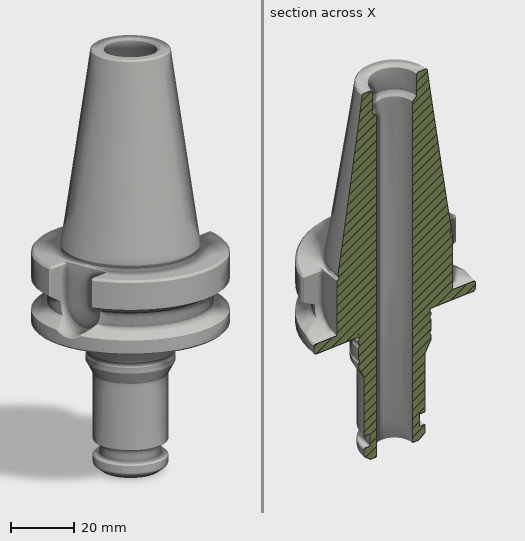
import cadquery as cq
import math


GAUGE_RADIUS = 44.45 / 2
TAPER_LENGTH = 65.4
RADIUS_TAPER = 7 / 24 / 2
TAPER_TIP_CHAMFER = 0.5
SMALL_END_RADIUS = GAUGE_RADIUS - TAPER_LENGTH * RADIUS_TAPER

RELIEF_RADIUS = 21.75
RELIEF_FILLET = 0.85

FLANGE_RADIUS = 63 / 2
FLANGE_TOP_Z = -2.0
FLANGE_BOTTOM_Z = -27.0
FLANGE_CHAMFER = 0.7
GRIP_CENTRE_Z = -16.8
GRIP_BOTTOM_RADIUS = 53 / 2
GRIP_FLOOR_WIDTH = 4.5
GRIP_FLANK_SLOPE = 30
GRIP_TOP_Z = GRIP_CENTRE_Z + GRIP_FLOOR_WIDTH / 2
GRIP_BOTTOM_Z = GRIP_CENTRE_Z - GRIP_FLOOR_WIDTH / 2
GRIP_FLANK_HEIGHT = (FLANGE_RADIUS - GRIP_BOTTOM_RADIUS) * math.tan(math.radians(GRIP_FLANK_SLOPE))

SLOT_WIDTH = 16.1
SLOT_FLOOR_Y = 22.6
SLOT_BOTTOM_Z = -23.0
SLOT_FLOOR_FILLET = 0.5
SLOT_LIP_CHAMFER = 0.5

COLLAR_RADIUS = 28.5 / 2
COLLAR_BOTTOM_Z = -38.9
COLLAR_CONE_BOTTOM_Z = -43.1
GROOVE_DEPTH = 0.45
GROOVE_SPANS = [(FLANGE_BOTTOM_Z, -28.3), (-29.3, -31.1), (-35.3, -37.0)]

SHANK_RADIUS = 24 / 2
NECK_RADIUS = 19.5 / 2
NECK_TOP_Z = -65.7
NECK_BOTTOM_Z = -70.2
NECK_FILLET = 0.4
NECK_EDGE_CHAMFER = 0.4
END_Z = -75.5
KNOB_ROUND_TOP_Z = -72.9
KNOB_CONE_TOP_Z = -73.8
KNOB_CONE_TOP_RADIUS = 11.55
KNOB_END_RADIUS = 9.4

BORE_RADIUS = 13.84 / 2
PILOT_RADIUS = 17 / 2
PILOT_MOUTH_RADIUS = 19.1 / 2
PILOT_MOUTH_DEPTH = 0.6
PILOT_DEPTH = 9.0


def fillet_midpoint(corner_r, corner_z, toward_r, toward_z, radius):
    """Midpoint of the concave fillet arc at a corner whose sides run toward the given signs."""
    offset = radius * (1 - math.sqrt(0.5))
    return corner_r + toward_r * offset, corner_z + toward_z * offset


def turned_body():
    """Outer shape revolved about Z, from the taper tip down to the end knob."""
    profile = (
        cq.Workplane("XZ")
        .moveTo(0, TAPER_LENGTH)
        .lineTo(SMALL_END_RADIUS - TAPER_TIP_CHAMFER, TAPER_LENGTH)
        .lineTo(SMALL_END_RADIUS + TAPER_TIP_CHAMFER * RADIUS_TAPER, TAPER_LENGTH - TAPER_TIP_CHAMFER)
        .lineTo(GAUGE_RADIUS, 0)
        .lineTo(RELIEF_RADIUS, FLANGE_TOP_Z + RELIEF_FILLET)
        .threePointArc(
            fillet_midpoint(RELIEF_RADIUS, FLANGE_TOP_Z, 1, 1, RELIEF_FILLET),
            (RELIEF_RADIUS + RELIEF_FILLET, FLANGE_TOP_Z),
        )
        .lineTo(FLANGE_RADIUS - FLANGE_CHAMFER, FLANGE_TOP_Z)
        .lineTo(FLANGE_RADIUS, FLANGE_TOP_Z - FLANGE_CHAMFER)
        .lineTo(FLANGE_RADIUS, GRIP_TOP_Z + GRIP_FLANK_HEIGHT)
        .lineTo(GRIP_BOTTOM_RADIUS, GRIP_TOP_Z)
        .lineTo(GRIP_BOTTOM_RADIUS, GRIP_BOTTOM_Z)
        .lineTo(FLANGE_RADIUS, GRIP_BOTTOM_Z - GRIP_FLANK_HEIGHT)
        .lineTo(FLANGE_RADIUS, FLANGE_BOTTOM_Z + FLANGE_CHAMFER)
        .lineTo(FLANGE_RADIUS - FLANGE_CHAMFER, FLANGE_BOTTOM_Z)
    )
    for top, bottom in GROOVE_SPANS:
        profile = profile.lineTo(COLLAR_RADIUS, top).threePointArc(
            (COLLAR_RADIUS - GROOVE_DEPTH, (top + bottom) / 2), (COLLAR_RADIUS, bottom)
        )
    profile = (
        profile.lineTo(COLLAR_RADIUS, COLLAR_BOTTOM_Z)
        .lineTo(SHANK_RADIUS, COLLAR_CONE_BOTTOM_Z)
        .lineTo(SHANK_RADIUS, NECK_TOP_Z + NECK_EDGE_CHAMFER)
        .lineTo(SHANK_RADIUS - NECK_EDGE_CHAMFER, NECK_TOP_Z)
        .lineTo(NECK_RADIUS + NECK_FILLET, NECK_TOP_Z)
        .threePointArc(
            fillet_midpoint(NECK_RADIUS, NECK_TOP_Z, 1, -1, NECK_FILLET),
            (NECK_RADIUS, NECK_TOP_Z - NECK_FILLET),
        )
        .lineTo(NECK_RADIUS, NECK_BOTTOM_Z + NECK_FILLET)
        .threePointArc(
            fillet_midpoint(NECK_RADIUS, NECK_BOTTOM_Z, 1, 1, NECK_FILLET),
            (NECK_RADIUS + NECK_FILLET, NECK_BOTTOM_Z),
        )
        .lineTo(SHANK_RADIUS - NECK_EDGE_CHAMFER, NECK_BOTTOM_Z)
        .lineTo(SHANK_RADIUS, NECK_BOTTOM_Z - NECK_EDGE_CHAMFER)
        .lineTo(SHANK_RADIUS, KNOB_ROUND_TOP_Z)
        .tangentArcPoint((KNOB_CONE_TOP_RADIUS, KNOB_CONE_TOP_Z), relative=False)
        .lineTo(KNOB_END_RADIUS, END_Z)
        .lineTo(0, END_Z)
    )
    return profile.close().revolve(360, (0, 0), (0, 1))


def bore():
    """Cutter for the through bore with its chamfered pilot and 45 degree shoulder."""
    pilot_bottom = TAPER_LENGTH - PILOT_DEPTH
    profile = (
        cq.Workplane("XZ")
        .moveTo(0, TAPER_LENGTH)
        .lineTo(PILOT_MOUTH_RADIUS, TAPER_LENGTH)
        .lineTo(PILOT_RADIUS, TAPER_LENGTH - PILOT_MOUTH_DEPTH)
        .lineTo(PILOT_RADIUS, pilot_bottom)
        .lineTo(BORE_RADIUS, pilot_bottom - (PILOT_RADIUS - BORE_RADIUS))
        .lineTo(BORE_RADIUS, END_Z)
        .lineTo(0, END_Z)
    )
    return profile.close().revolve(360, (0, 0), (0, 1))


def drive_slot():
    """Cutter for the -Y slot: straight sides, a round lower end and a filleted floor edge."""
    half_width = SLOT_WIDTH / 2
    arc_centre_z = SLOT_BOTTOM_Z + half_width
    return (
        cq.Workplane("XZ", origin=(0, -SLOT_FLOOR_Y, 0))
        .moveTo(-half_width, FLANGE_TOP_Z)
        .lineTo(-half_width, arc_centre_z)
        .threePointArc((0, SLOT_BOTTOM_Z), (half_width, arc_centre_z))
        .lineTo(half_width, FLANGE_TOP_Z)
        .close()
        .extrude(FLANGE_RADIUS)
        .edges(">Y")
        .edges("not >Z")
        .fillet(SLOT_FLOOR_FILLET)
    )


def slot_top_flare():
    """Cutter that chamfers the top edges of the -Y slot walls."""
    half_width = SLOT_WIDTH / 2
    return (
        cq.Workplane("XZ", origin=(0, -SLOT_FLOOR_Y, 0))
        .moveTo(-half_width - FLANGE_CHAMFER, FLANGE_TOP_Z)
        .lineTo(-half_width, FLANGE_TOP_Z - FLANGE_CHAMFER)
        .lineTo(half_width, FLANGE_TOP_Z - FLANGE_CHAMFER)
        .lineTo(half_width + FLANGE_CHAMFER, FLANGE_TOP_Z)
        .close()
        .extrude(FLANGE_RADIUS)
    )


def slot_mouth_flare():
    """Cutter that chamfers the upright outer edges of the -Y slot walls above the gripper groove."""
    half_width = SLOT_WIDTH / 2
    rim_half_width = half_width + FLANGE_CHAMFER
    rim_y = -math.sqrt(FLANGE_RADIUS**2 - rim_half_width**2)
    start_y = rim_y + FLANGE_CHAMFER
    overrun = start_y + FLANGE_RADIUS
    return (
        cq.Workplane("XY", origin=(0, 0, GRIP_TOP_Z))
        .moveTo(-half_width, start_y)
        .lineTo(half_width, start_y)
        .lineTo(half_width + overrun, -FLANGE_RADIUS)
        .lineTo(-half_width - overrun, -FLANGE_RADIUS)
        .close()
        .extrude(FLANGE_TOP_Z - GRIP_TOP_Z)
    )


def chamfer_slot_lip(body, side_y):
    """Chamfer the edge where the round end of a slot breaks out through the lower rim."""
    lip = cq.selectors.NearestToPointSelector((0, side_y, SLOT_BOTTOM_Z))
    return body.edges(lip).chamfer(SLOT_LIP_CHAMFER)


slot_cutters = (drive_slot(), slot_top_flare(), slot_mouth_flare())
result = turned_body().cut(bore())
for cutter in slot_cutters:
    result = result.cut(cutter).cut(cutter.mirror("XZ"))
for side_y in (-FLANGE_RADIUS, FLANGE_RADIUS):
    result = chamfer_slot_lip(result, side_y)